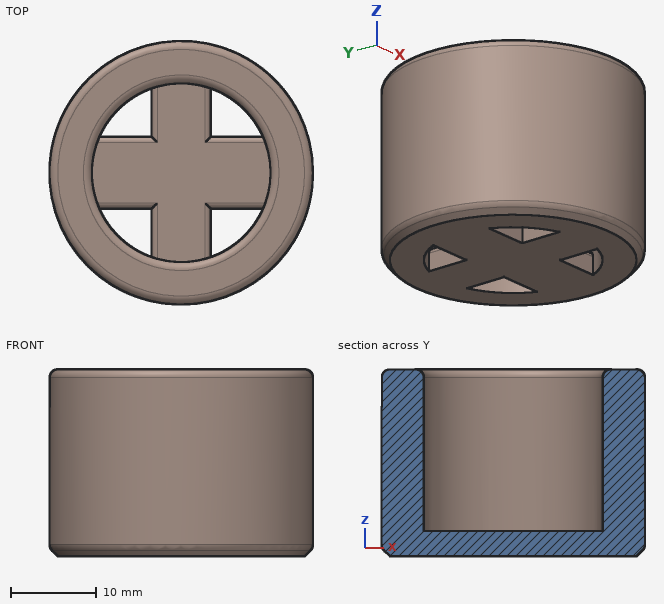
import cadquery as cq

outer_diameter = 31.0
bore_diameter = 21.0
height = 22.0
rim_fillet = 1.0
base_chamfer = 1.0
base_blend_radius = 1.0

floor_thickness = 3.0
x_bar_width = 8.5
y_bar_width = 7.0
bar_edge_fillet = 0.7


def make_tube():
    """Tube with a rounded rim and a chamfered base that blends into the outer wall."""
    tube = cq.Workplane("XY").circle(outer_diameter / 2).circle(bore_diameter / 2).extrude(height)
    tube = tube.faces(">Z").edges().fillet(rim_fillet)
    outermost = cq.selectors.RadiusNthSelector(-1)
    tube = tube.faces("<Z").edges(outermost).chamfer(base_chamfer)
    return tube.faces("%CONE").edges(">Z").fillet(base_blend_radius)


def make_bar(length_x, length_y, long_edges):
    """Flat bar standing on the base plane, with its two upper long edges rounded."""
    bar = cq.Workplane("XY").box(length_x, length_y, floor_thickness, centered=(True, True, False))
    return bar.edges(long_edges).edges(">Z").fillet(bar_edge_fillet)


def make_cross():
    """Two crossing bars that span the bore and end midway through the tube wall."""
    bar_length = (outer_diameter + bore_diameter) / 2
    x_bar = make_bar(bar_length, x_bar_width, "|X")
    y_bar = make_bar(y_bar_width, bar_length, "|Y")
    return x_bar.union(y_bar)


result = make_tube().union(make_cross())